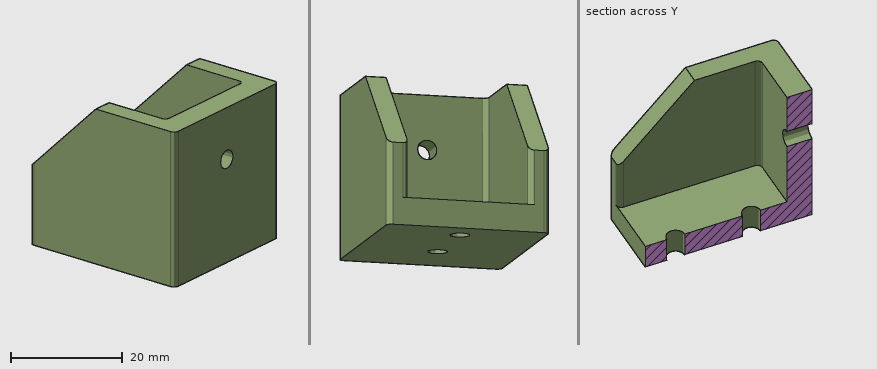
import cadquery as cq

length = 33.0
width = 30.0
height = 30.0

side_wall = 3.83
back_wall = 5.0
floor = 5.0
corner_radius = 1.0

slope_size = 15.0

hole_diameter = 3.5
floor_hole_positions = (6.0, 21.0)
back_hole_height = 20.0

inner_width = width - 2 * side_wall
inner_length = length - back_wall


def make_block():
    """Solid block with rounded vertical edges, front face at X = 0."""
    block = cq.Workplane("XY").box(length, width, height, centered=(False, True, False))
    return block.edges("|Z").fillet(corner_radius)


def make_pocket():
    """Space between the walls, open at the front and top, with rounded back corners."""
    pocket = cq.Workplane("XY").workplane(offset=floor).box(
        inner_length, inner_width, height, centered=(False, True, False)
    )
    return pocket.edges("|Z and >X").fillet(corner_radius)


def make_slope():
    """Triangular wedge removed from the top front of the walls."""
    return (
        cq.Workplane("XZ")
        .moveTo(0, height - slope_size)
        .lineTo(slope_size, height)
        .lineTo(0, height)
        .close()
        .extrude(width / 2, both=True)
    )


def round_inner_front_edges(bracket):
    """Round the inner vertical edges at the front ends of the side walls."""
    probe = corner_radius / 2
    selection = cq.selectors.BoxSelector(
        (-probe, -inner_width / 2 - probe, floor),
        (probe, inner_width / 2 + probe, height),
    )
    return bracket.edges("|Z").edges(selection).fillet(corner_radius)


def make_floor_holes():
    """Vertical screw holes through the floor."""
    points = [(x, 0) for x in floor_hole_positions]
    return cq.Workplane("XY").pushPoints(points).circle(hole_diameter / 2).extrude(floor)


def make_back_hole():
    """Horizontal screw hole through the back wall."""
    return (
        cq.Workplane("YZ", origin=(inner_length, 0, back_hole_height))
        .circle(hole_diameter / 2)
        .extrude(back_wall)
    )


bracket = make_block().cut(make_pocket())
bracket = round_inner_front_edges(bracket)
bracket = bracket.cut(make_slope())
result = bracket.cut(make_floor_holes()).cut(make_back_hole())